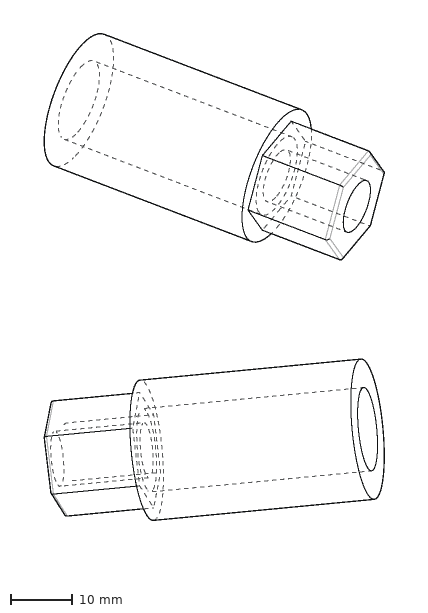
import cadquery as cq
import math

TOTAL_LENGTH = 52.0
SLEEVE_LENGTH = 37.0
SLEEVE_DIAMETER = 23.0
SLEEVE_BORE_DIAMETER = 13.6

HEX_ACROSS_FLATS = 16.5
HEX_HOLE_DIAMETER = 9.0
HEX_EDGE_RADIUS = 0.5
HEX_SIDES = 6

HEX_LENGTH = TOTAL_LENGTH - SLEEVE_LENGTH
HEX_ACROSS_CORNERS = HEX_ACROSS_FLATS / math.cos(math.pi / HEX_SIDES)


def make_sleeve():
    """Plain round tube starting at X = 0."""
    return (
        cq.Workplane("YZ")
        .circle(SLEEVE_DIAMETER / 2)
        .circle(SLEEVE_BORE_DIAMETER / 2)
        .extrude(SLEEVE_LENGTH)
    )


def make_hex_end():
    """Hexagonal block seated on the sleeve's end face, with two corners along Y and a hole through it."""
    block = (
        cq.Workplane("YZ", origin=(SLEEVE_LENGTH, 0, 0))
        .polygon(HEX_SIDES, HEX_ACROSS_CORNERS)
        .extrude(HEX_LENGTH)
    )
    rounded = block.faces(">X").edges().fillet(HEX_EDGE_RADIUS)
    return rounded.faces(">X").workplane(centerOption="CenterOfMass").hole(HEX_HOLE_DIAMETER)


sleeve = make_sleeve()
hex_end = make_hex_end()

result = cq.Compound.makeCompound([sleeve.val(), hex_end.val()])